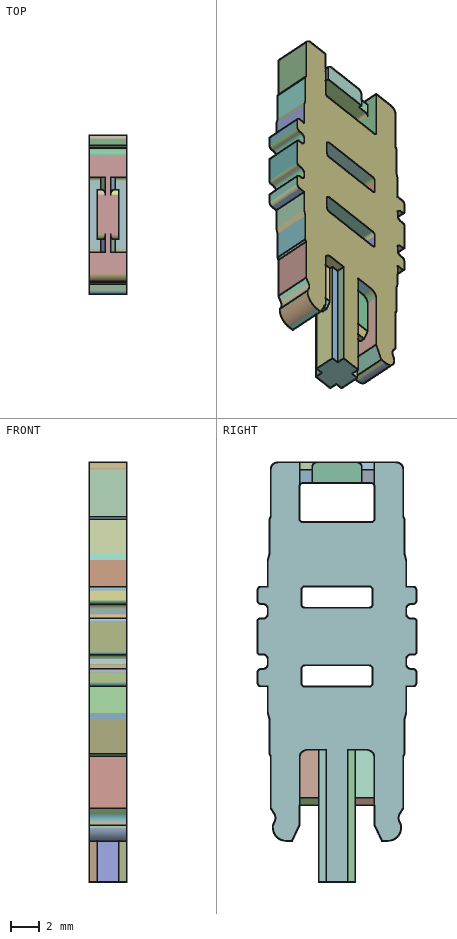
import cadquery as cq
import math

thickness = 2.68
width = 11.27
length = 29.73
half_width = width / 2

symmetry_level = 17.4
waist_half_width = 4.9
step_half_width = 4.8
end_half_width = 4.7
waist_ramp_start = 5.4
waist_ramp_end = 5.85
end_ramp_start = 8.3
end_ramp_end = 8.47
top_corner_radius = 0.5

band_height = 7.08
band_corner_radius = 0.27
groove_mouth_radius = 0.18
groove_height = 1.0
groove_offset = 1.78
groove_floor_radius = 0.33

shoulder_level = 5.23
shoulder_chamfer_y = 4.5
shoulder_chamfer_z = 4.9
neck_half_width = 4.37
neck_level = 4.6
neck_end_y = 4.43
neck_end_z = 4.28
bulge_half_width = 4.55
bulge_top = 4.0
bulge_bottom = 3.85
bulge_arc_y = 4.25
bulge_arc_z = 3.18
tip_level = 2.9
tip_outer_y = 3.57
tip_inner_y = 3.18
tip_taper_top = 4.05

opening_half_width = 2.65
window_floor = 25.5
window_top = 28.25
window_radius = 0.2
slot_width = 5.02
slot_height = 1.5
slot_offset = 2.8
slot_radius = 0.25
leg_gap_top = 9.36
leg_gap_radius = 0.55

web_thickness = 1.05
web_edge_thickness = 0.35
bevel_height = 0.55
lower_web_bottom = 5.45

insert_thickness = 1.52
block_width = 3.5
block_corner_radius = 0.35
prong_width = 2.62
prong_rib_width = 1.52


def box(x_size, y_size, z_low, z_high):
    """Box centered on X and Y between two levels."""
    return cq.Workplane("XY", origin=(0, 0, z_low)).rect(x_size, y_size).extrude(z_high - z_low)


def mirrored(side):
    """The +Y feature together with its -Y twin."""
    return side.union(side.mirror("XZ"))


def half_plate():
    """+Y half of the plate with its steps and latch tip."""
    level = symmetry_level
    outline = (
        cq.Workplane("YZ", origin=(-thickness / 2, 0, 0))
        .moveTo(0, length)
        .lineTo(end_half_width - top_corner_radius, length)
        .radiusArc((end_half_width, length - top_corner_radius), top_corner_radius)
        .lineTo(end_half_width, level + end_ramp_end)
        .lineTo(step_half_width, level + end_ramp_start)
        .lineTo(step_half_width, level + waist_ramp_end)
        .lineTo(waist_half_width, level + waist_ramp_start)
        .lineTo(waist_half_width, level - waist_ramp_start)
        .lineTo(step_half_width, level - waist_ramp_end)
        .lineTo(step_half_width, level - end_ramp_start)
        .lineTo(end_half_width, level - end_ramp_end)
        .lineTo(end_half_width, shoulder_level)
        .lineTo(shoulder_chamfer_y, shoulder_chamfer_z)
        .threePointArc((neck_half_width, neck_level), (neck_end_y, neck_end_z))
        .lineTo(bulge_half_width, bulge_top)
        .lineTo(bulge_half_width, bulge_bottom)
        .threePointArc((bulge_arc_y, bulge_arc_z), (tip_outer_y, tip_level))
        .lineTo(tip_inner_y, tip_level)
        .lineTo(opening_half_width, tip_taper_top)
        .lineTo(opening_half_width, shoulder_level)
        .lineTo(0, shoulder_level)
        .close()
    )
    return outline.extrude(thickness)


def rounded_bar(y_size, height, level, radius):
    """Bar through the whole thickness with rounded long edges."""
    return box(thickness, y_size, level - height / 2, level + height / 2).edges("|X").fillet(radius)


def grip_band():
    """Band across the waist before the grooves are cut."""
    return rounded_bar(width, band_height, symmetry_level, band_corner_radius)


def grip_grooves():
    """Cutters for the grooves on both long sides, rounded at their floors."""
    grooves = cq.Workplane("XY")
    depth = half_width - waist_half_width
    for level in (symmetry_level - groove_offset, symmetry_level + groove_offset):
        groove = box(thickness, 2 * depth, level - groove_height / 2, level + groove_height / 2)
        groove = groove.edges("|X").edges("<Y").fillet(groove_floor_radius)
        grooves = grooves.union(groove.translate((0, half_width, 0)))
    return mirrored(grooves)


def round_mouths(band, offset, radius):
    """Round the outer edges lying at one distance above and below the symmetry level."""
    for side in (-1, 1):
        for direction in (-1, 1):
            middle = (0, side * half_width, symmetry_level + direction * offset)
            band = band.edges(cq.selectors.NearestToPointSelector(middle)).fillet(radius)
    return band


def grooved_band():
    """Grip band with its two grooves per side and rounded groove mouths."""
    band = grip_band().cut(grip_grooves())
    inner_mouth = groove_offset - groove_height / 2
    outer_mouth = groove_offset + groove_height / 2
    band = round_mouths(band, inner_mouth, groove_mouth_radius)
    return round_mouths(band, outer_mouth, band_corner_radius)


def web(free_level, root_level):
    """Web across an opening, narrowing toward its free edge."""
    half = web_thickness / 2
    edge = web_edge_thickness / 2
    bevel_level = free_level + math.copysign(bevel_height, root_level - free_level)
    points = [
        (-half, root_level),
        (half, root_level),
        (half, bevel_level),
        (edge, free_level),
        (-edge, free_level),
        (-half, bevel_level),
    ]
    return cq.Workplane("XZ").polyline(points).close().extrude(opening_half_width, both=True)


def upper_block():
    """Thicker block in the middle of the upper web."""
    block = box(insert_thickness, block_width, window_top, length)
    return block.edges("|X and >Z").fillet(block_corner_radius)


def prong():
    """Central prong with a cross-shaped section."""
    flange = box(insert_thickness, prong_width, 0, leg_gap_top)
    rib = box(thickness, prong_rib_width, 0, leg_gap_top)
    return flange.union(rib)


plate = mirrored(half_plate()).union(grooved_band())
for slot_level in (symmetry_level - slot_offset, symmetry_level + slot_offset):
    plate = plate.cut(rounded_bar(slot_width, slot_height, slot_level, slot_radius))

opening_width = 2 * opening_half_width
window_height = window_top - window_floor
window_level = (window_floor + window_top) / 2
top_opening = box(thickness, opening_width, window_level, length)
upper_web = web(length, window_level)
window = rounded_bar(opening_width, window_height, window_level, window_radius)
leg_gap = box(thickness, opening_width, 0, leg_gap_top).edges("|X and >Z").fillet(leg_gap_radius)
plate = plate.cut(top_opening).union(upper_web).cut(window).cut(leg_gap)

lower_web = web(lower_web_bottom, leg_gap_top)
result = plate.union(lower_web).union(upper_block()).union(prong())